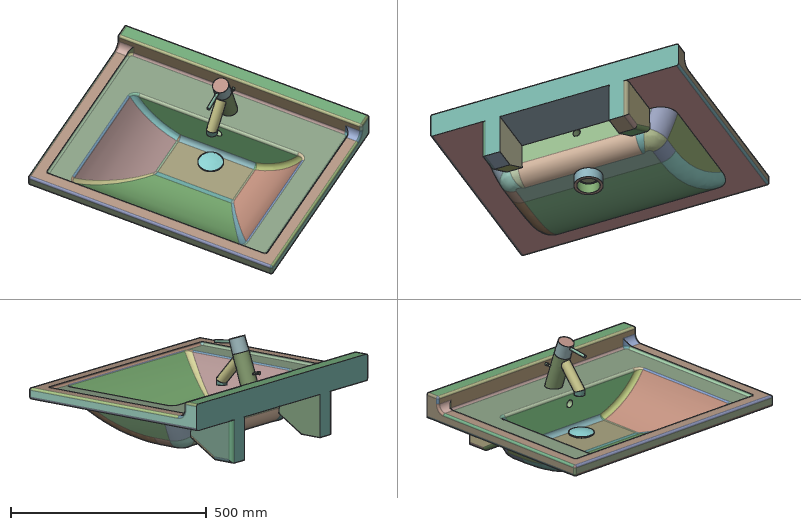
import cadquery as cq
import math


width = 700.0
length = 550.0
slab_thickness = 30.0
splash_height = 40.0
splash_depth = 41.0
cove_radius = 20.0
edge_radius = 6.0

deck_half_width = 315.0
deck_front = -515.0
deck_depth = 8.0
deck_front_corner_radius = 7.0
deck_back_corner_radius = 12.0
deck_floor_radius = 6.0

hollow_back = -162.0
hollow_front = -509.0
hollow_floor_front = -299.0
hollow_floor_half_width = 110.0
hollow_top_half_width = 248.0
hollow_floor = -112.0
hollow_side_bulge = 0.09
hollow_front_bulge = 0.075
hollow_back_radius = 13.0
hollow_side_radius = 17.0
hollow_front_radius = 75.0
hollow_rim_radius = 7.0

shell_back = -133.0
shell_flat_front = -231.0
shell_top = -slab_thickness / 2
shell_front = -521.0
shell_bottom = -131.0
shell_top_half_width = 268.0
shell_mid_half_width = 252.0
shell_mid_z = -63.0
shell_low_half_width = 221.0
shell_corner_radius = 48.0
shell_bottom_radius = 45.0

bracket_inner = 154.0
bracket_outer = 206.0
bracket_bottom = -144.0
bracket_foot_depth = 60.0
bracket_toe_z = -101.0
bracket_radius = 10.0

drain_y = -205.0
drain_bottom = -160.0
drain_diameter = 75.0
drain_bore = 60.0
waste_diameter = 52.0
plug_diameter = 66.0
plug_edge = 3.0
plug_dome = 5.0
plug_gap = 4.0
overflow_diameter = 20.0
overflow_z = -40.0

faucet_tilt = 19.0
faucet_base_y = -102.0
faucet_base_diameter = 45.0
cap_bottom_diameter = 44.0
cap_top_diameter = 42.0
cap_length = 40.0
overall_height = 294.01
spout_diameter = 28.0
spout_slope = 49.0
outlet_y = -198.0
outlet_z = 7.0
aerator_bottom = -4.0
aerator_bore = 20.0
aerator_bore_depth = 3.0
lever_diameter = 8.0
lever_slope = 7.0
lever_tip_y = -219.0
lever_drop = 12.0
pull_rod_diameter = 5.0
pull_knob_diameter = 8.0
pull_knob_length = 6.0
pull_knob_y = -74.0
pull_knob_z = 44.0
pull_rod_bend = 22.0

deck_z = -deck_depth
axis_y = -math.sin(math.radians(faucet_tilt))
axis_z = math.cos(math.radians(faucet_tilt))
faucet_base = cq.Vector(0, faucet_base_y, deck_z)
faucet_axis = cq.Vector(0, axis_y, axis_z)
cap_rise = -axis_y * cap_top_diameter / 2
faucet_length = (drain_bottom + overall_height - cap_rise - deck_z) / axis_z
body_length = faucet_length - cap_length
outlet_centre = cq.Vector(0, outlet_y, outlet_z)


def side_profile():
    """Workplane whose sketch X is the part's Y and whose sketch Y is the part's Z."""
    return cq.Workplane("YZ")


def make_slab():
    cove = cove_radius * math.sqrt(0.5)
    cove_y = -splash_depth - cove_radius
    return (
        side_profile()
        .moveTo(0, -slab_thickness)
        .lineTo(-length, -slab_thickness)
        .lineTo(-length, 0)
        .lineTo(cove_y, 0)
        .threePointArc((cove_y + cove, cove_radius - cove), (-splash_depth, cove_radius))
        .lineTo(-splash_depth, splash_height)
        .lineTo(0, splash_height)
        .close()
        .extrude(width / 2, both=True)
        .faces("not >Y")
        .edges("not >Y")
        .fillet(edge_radius)
    )


def make_deck_pocket():
    depth = -splash_depth - deck_front
    pocket = (
        cq.Workplane("XY", origin=(0, (deck_front - splash_depth) / 2, deck_z))
        .rect(2 * deck_half_width, depth)
        .extrude(deck_depth + splash_height)
    )
    pocket = pocket.edges("|Z and >Y").fillet(deck_back_corner_radius)
    pocket = pocket.edges("|Z and <Y").fillet(deck_front_corner_radius)
    return pocket.faces("<Z").edges().fillet(deck_floor_radius)


def make_shell():
    rise = shell_top - shell_bottom
    run = shell_flat_front - shell_front
    radius = (run**2 + rise**2) / (2 * rise)
    mid_z = shell_bottom + radius - math.sqrt(radius**2 - (run / 2) ** 2)
    lengthwise = (
        side_profile()
        .moveTo(shell_back, shell_top)
        .lineTo(shell_back, shell_bottom)
        .lineTo(shell_flat_front, shell_bottom)
        .threePointArc((shell_flat_front - run / 2, mid_z), (shell_front, shell_top))
        .close()
        .extrude(width / 2, both=True)
    )
    crosswise = (
        cq.Workplane("XZ")
        .moveTo(-shell_top_half_width, shell_top)
        .threePointArc((-shell_mid_half_width, shell_mid_z), (-shell_low_half_width, shell_bottom))
        .lineTo(shell_low_half_width, shell_bottom)
        .threePointArc((shell_mid_half_width, shell_mid_z), (shell_top_half_width, shell_top))
        .close()
        .extrude(length)
    )
    shell = lengthwise.intersect(crosswise)
    upright_corners = shell.faces(">Y").edges("not(>Z or <Z)")
    shell = upright_corners.fillet(shell_corner_radius)
    return shell.faces("<Z").edges("not <Y").fillet(shell_bottom_radius)


def arc_middle(start, end, bulge):
    """Middle of an arc from start to end that sags to the right of the chord by bulge times its length."""
    run = end[0] - start[0]
    rise = end[1] - start[1]
    return ((start[0] + end[0]) / 2 + bulge * rise, (start[1] + end[1]) / 2 - bulge * run)


def make_hollow():
    top = splash_height
    floor_front = (-hollow_floor_front, hollow_floor)
    deck_front_edge = (-hollow_front, deck_z)
    front_mid = arc_middle(floor_front, deck_front_edge, hollow_front_bulge)
    lengthwise = (
        side_profile()
        .moveTo(hollow_back, top)
        .lineTo(hollow_back, hollow_floor)
        .lineTo(-floor_front[0], hollow_floor)
        .threePointArc((-front_mid[0], front_mid[1]), (hollow_front, deck_z))
        .lineTo(hollow_front, top)
        .close()
        .extrude(width / 2, both=True)
    )
    floor_bend = cq.selectors.NearestToPointSelector((0, hollow_floor_front, hollow_floor))
    lengthwise = lengthwise.edges(floor_bend).fillet(hollow_front_radius)
    floor_side = (hollow_floor_half_width, hollow_floor)
    deck_side = (hollow_top_half_width, deck_z)
    side_mid = arc_middle(floor_side, deck_side, hollow_side_bulge)
    crosswise = (
        cq.Workplane("XZ")
        .moveTo(-deck_side[0], top)
        .lineTo(-deck_side[0], deck_z)
        .threePointArc((-side_mid[0], side_mid[1]), (-floor_side[0], hollow_floor))
        .lineTo(*floor_side)
        .threePointArc(side_mid, deck_side)
        .lineTo(deck_side[0], top)
        .close()
        .extrude(length)
    )
    hollow = lengthwise.intersect(crosswise)
    hollow = hollow.faces("<Z").edges("|Y").fillet(hollow_side_radius)
    return hollow.faces(">Y").edges("not(|Z or >Z)").fillet(hollow_back_radius)


def make_bracket(side):
    """Wall bracket on one side of the bowl; side is -1 or 1."""
    root_y = shell_back - shell_corner_radius
    toe_slope = (bracket_toe_z - bracket_bottom) / (bracket_foot_depth + shell_back)
    root_z = bracket_bottom + toe_slope * (bracket_foot_depth + root_y)
    bracket = (
        cq.Workplane("YZ", origin=(bracket_inner, 0, 0))
        .moveTo(0, shell_top)
        .lineTo(0, bracket_bottom)
        .lineTo(-bracket_foot_depth, bracket_bottom)
        .lineTo(root_y, root_z)
        .lineTo(root_y, shell_top)
        .close()
        .extrude(bracket_outer - bracket_inner)
    )
    bracket = bracket.faces(">X").edges("not(>Z or <Y)").fillet(bracket_radius)
    return bracket if side > 0 else bracket.mirror("YZ")


def make_basin():
    hollow = make_hollow()
    basin = make_slab().union(make_shell())
    for side in (-1, 1):
        basin = basin.union(make_bracket(side))
    basin = basin.cut(make_deck_pocket()).cut(hollow)
    rim_back = cq.selectors.NearestToPointSelector((0, hollow_back, deck_z))
    basin = basin.edges(rim_back).fillet(hollow_rim_radius)
    waste = cq.Workplane("XY", origin=(0, drain_y, shell_bottom)).circle(waste_diameter / 2)
    basin = basin.cut(waste.extrude(hollow_floor - shell_bottom))
    overflow = cq.Workplane("XZ", origin=(0, shell_back, overflow_z)).circle(overflow_diameter / 2)
    return basin.cut(overflow.extrude(shell_back - hollow_back))


def make_drain():
    return (
        cq.Workplane("XY", origin=(0, drain_y, drain_bottom))
        .circle(drain_diameter / 2)
        .circle(drain_bore / 2)
        .extrude(shell_bottom - drain_bottom)
    )


def make_plug():
    """Domed waste plug whose stem fills the waste hole."""
    head_z = hollow_floor + plug_gap
    edge_z = head_z + plug_edge
    head_radius = plug_diameter / 2
    dome_radius = (head_radius**2 + plug_dome**2) / (2 * plug_dome)
    mid_x = head_radius / 2
    mid_z = edge_z + plug_dome - dome_radius + math.sqrt(dome_radius**2 - mid_x**2)
    return (
        cq.Workplane("XZ", origin=(0, drain_y, 0))
        .moveTo(0, shell_bottom)
        .lineTo(waste_diameter / 2, shell_bottom)
        .lineTo(waste_diameter / 2, head_z)
        .lineTo(head_radius, head_z)
        .lineTo(head_radius, edge_z)
        .threePointArc((mid_x, mid_z), (0, edge_z + plug_dome))
        .close()
        .revolve(360, (0, 0, 0), (0, 1, 0))
    )


def faucet_section(distance):
    """Workplane square to the tilted faucet axis, at a distance along it from the deck."""
    origin = faucet_base + faucet_axis * distance
    return cq.Workplane(cq.Plane(origin=origin, xDir=(1, 0, 0), normal=faucet_axis))


def faucet_cone(start, start_diameter, end, end_diameter):
    lower = faucet_section(start).circle(start_diameter / 2)
    return lower.workplane(offset=end - start).circle(end_diameter / 2).loft()


def rod_along(start, direction, diameter, rod_length):
    plane = cq.Plane(origin=start, xDir=(1, 0, 0), normal=direction)
    return cq.Workplane(plane).circle(diameter / 2).extrude(rod_length)


def below_mitre():
    """Block under the plane that halves the angle between the spout and the vertical outlet."""
    mitre_tilt = math.radians((90 - spout_slope) / 2)
    normal = cq.Vector(0, -math.sin(mitre_tilt), -math.cos(mitre_tilt))
    plane = cq.Plane(origin=outlet_centre, xDir=(1, 0, 0), normal=normal)
    block = 3 * spout_diameter
    return cq.Workplane(plane).rect(block, block).extrude(block)


def make_faucet_body():
    root = faucet_base_diameter / 2
    body = faucet_cone(-root, faucet_base_diameter, body_length, cap_bottom_diameter)
    under_deck = cq.Workplane("XY", origin=(0, faucet_base_y, deck_z))
    body = body.cut(under_deck.rect(4 * root, 4 * root).extrude(-4 * root))
    slope = math.radians(spout_slope)
    up_spout = cq.Vector(0, math.cos(slope), math.sin(slope))
    tip = outlet_centre - up_spout * spout_diameter
    gap = faucet_base - tip
    spout_length = gap.cross(faucet_axis).x / up_spout.cross(faucet_axis).x
    spout = rod_along(tip, up_spout, spout_diameter, spout_length)
    return body.union(spout.cut(below_mitre()))


def make_aerator():
    top = outlet_z + spout_diameter
    outlet = cq.Workplane("XY", origin=(0, outlet_y, aerator_bottom))
    aerator = outlet.circle(spout_diameter / 2).extrude(top - aerator_bottom)
    bore = outlet.circle(aerator_bore / 2).extrude(aerator_bore_depth)
    return aerator.intersect(below_mitre()).cut(bore)


def make_cap():
    return faucet_cone(body_length, cap_bottom_diameter, faucet_length, cap_top_diameter)


def make_lever(cap):
    """Slim rod that leaves the front of the cap, drooping slightly."""
    start = faucet_base + faucet_axis * (faucet_length - lever_drop)
    slope = math.radians(lever_slope)
    direction = cq.Vector(0, -math.cos(slope), -math.sin(slope))
    lever_length = (start.y - lever_tip_y) / math.cos(slope)
    return rod_along(start, direction, lever_diameter, lever_length).cut(cap)


def make_pull_rod(body):
    """Bent rod behind the faucet that works the plug, with a small knob on its end."""
    knob_end = pull_knob_y - pull_knob_length
    bend = pull_rod_bend * math.sqrt(0.5)
    path = (
        side_profile()
        .moveTo(knob_end, pull_knob_z)
        .threePointArc(
            (knob_end - bend, pull_knob_z - pull_rod_bend + bend),
            (knob_end - pull_rod_bend, pull_knob_z - pull_rod_bend),
        )
    )
    rod = cq.Workplane("XZ", origin=(0, knob_end, pull_knob_z)).circle(pull_rod_diameter / 2).sweep(path)
    knob = cq.Workplane("XZ", origin=(0, pull_knob_y, pull_knob_z)).circle(pull_knob_diameter / 2)
    return rod.union(knob.extrude(pull_knob_length)).cut(body)


basin = make_basin()
drain = make_drain()
plug = make_plug()
faucet_body = make_faucet_body()
aerator = make_aerator()
cap = make_cap()
lever = make_lever(cap)
pull_rod = make_pull_rod(faucet_body)

bodies = [basin, drain, plug, faucet_body, aerator, cap, lever, pull_rod]
result = cq.Compound.makeCompound([body.val() for body in bodies])